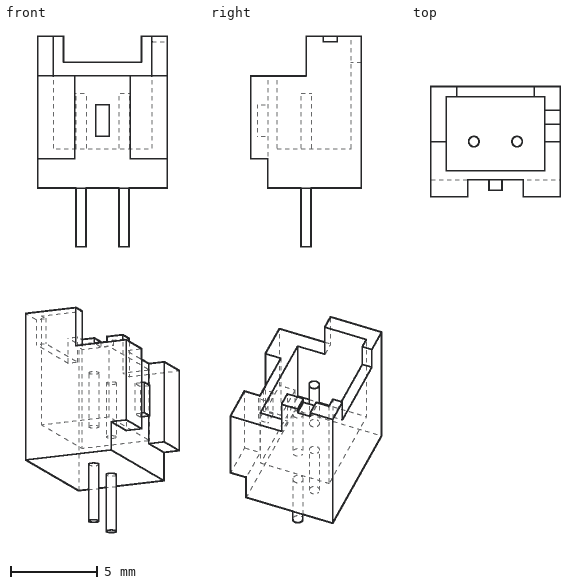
import cadquery as cq

width = 7.5
depth = 6.4
total_height = 12.2
pin_tail = 3.4
height = total_height - pin_tail
back_y = depth / 2
front_y = -depth / 2

ledge_height = 6.5
base_height = 1.7
front_setback = 0.98
face_y = front_y + front_setback
wall_step_y = 0.0

side_wall = 0.89
back_wall = 0.6
front_wall = 0.54
floor_height = 2.27

channel_width = 3.2
back_notch_width = 4.5
back_notch_depth = 1.5
side_notch_width = 0.79
side_notch_depth = 0.3
side_notch_from_back = 1.4

key_width = 0.78
key_height = 1.83
key_bottom = 3.0
key_projection = 0.6

pin_diameter = 0.6
pin_pitch = 2.5
pin_top = 5.5


def block(x_range, y_range, z_range):
    """Box spanning the given (low, high) limits on each axis."""
    lows, highs = zip(x_range, y_range, z_range)
    sizes = [high - low for low, high in zip(lows, highs)]
    return cq.Workplane("XY").box(*sizes, centered=False).translate(lows)


def centred(size):
    """Limits of a span centred on zero."""
    return (-size / 2, size / 2)


def make_housing():
    """Side profile with a tall rear, a front ledge and an undercut front."""
    profile = [
        (back_y, 0),
        (back_y, height),
        (wall_step_y, height),
        (wall_step_y, ledge_height),
        (front_y, ledge_height),
        (front_y, base_height),
        (face_y, base_height),
        (face_y, 0),
    ]
    return cq.Workplane("YZ").polyline(profile).close().extrude(width / 2, both=True)


def make_cavity():
    return block(
        centred(width - 2 * side_wall),
        (face_y + front_wall, back_y - back_wall),
        (floor_height, height),
    )


def make_front_channel():
    return block(centred(channel_width), (front_y, face_y), (base_height, ledge_height))


def make_back_notch():
    return block(
        centred(back_notch_width),
        (back_y - back_wall, back_y),
        (height - back_notch_depth, height),
    )


def make_side_notch():
    """Shallow notch across the top of the +X wall."""
    notch_back_y = back_y - side_notch_from_back
    return block(
        (width / 2 - side_wall, width / 2),
        (notch_back_y - side_notch_width, notch_back_y),
        (height - side_notch_depth, height),
    )


def make_key():
    return block(
        centred(key_width),
        (face_y - key_projection, face_y),
        (key_bottom, key_bottom + key_height),
    )


def make_pins():
    return (
        cq.Workplane("XY", origin=(0, 0, -pin_tail))
        .pushPoints([(x, 0) for x in centred(pin_pitch)])
        .circle(pin_diameter / 2)
        .extrude(pin_tail + pin_top)
    )


result = make_housing()
for opening in (make_cavity(), make_front_channel(), make_back_notch(), make_side_notch()):
    result = result.cut(opening)
result = result.union(make_key()).union(make_pins())